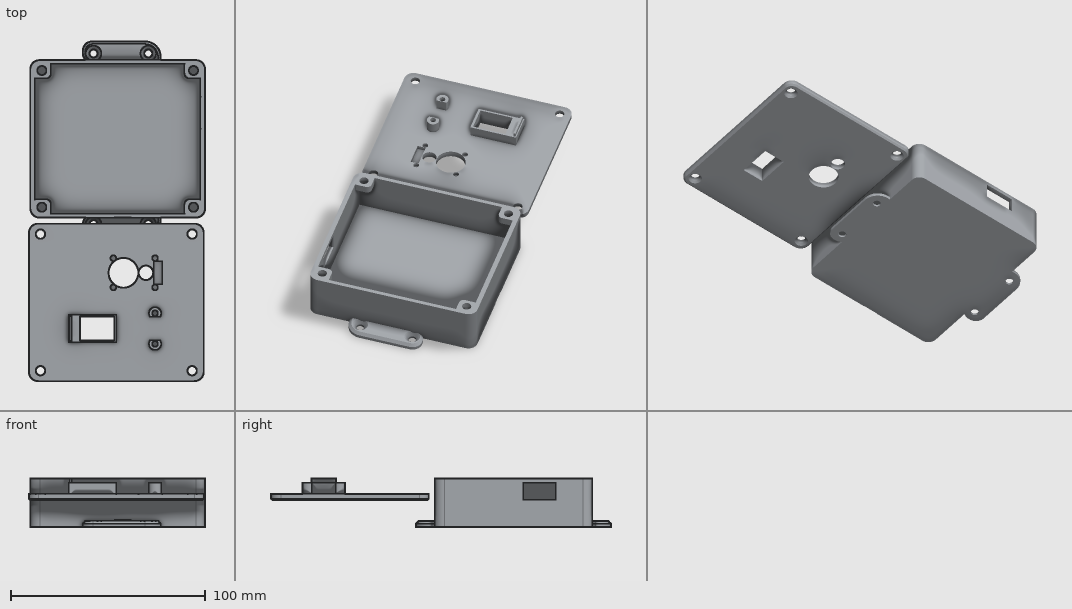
import cadquery as cq

OVERALL_WIDTH = 174.6
LENGTH = 90.0
WIDTH = 81.0
CORNER_RADIUS = 4.9
SCREW_DIAMETER = 4.7
SCREW_X = 39.0
SCREW_Y = 35.1
SCREW_POINTS = [(sx * SCREW_X, sy * SCREW_Y) for sx in (-1, 1) for sy in (-1, 1)]

BOX_HEIGHT = 25.0
SIDE_WALL = 2.5
END_WALL = 2.0
FLOOR = 3.0
BOSS_LENGTH = 10.7
BOSS_WIDTH = 9.5
BOSS_HEIGHT = 4.0
BOSS_RADIUS = 2.5
WINDOW_WIDTH = 16.6
WINDOW_HEIGHT = 8.7
WINDOW_Y = 13.5
WINDOW_BOTTOM = 14.0
PANEL_DEPTH = 0.2
PANEL_HEIGHT = 3.7
PANEL_WIDTH = 8.4
SIDE_PANEL_Y = 1.0
FRONT_PANEL_X = 2.6

TAB_REACH = 9.6
TAB_HEIGHT = 3.1
TAB_LEFT = -18.0
TAB_RIGHT = 22.2
TAB_LEFT_RADIUS = 5.0
TAB_RIGHT_RADIUS = 8.2
TAB_CHAMFER = 1.4
TAB_ROOT = 1.5
TAB_HOLE_DIAMETER = 4.0
TAB_SINK_DIAMETER = 8.0
TAB_HOLE_XS = (-12.4, 15.7)
TAB_HOLE_OFFSET = 3.3

LID_X = -0.7
GAP = OVERALL_WIDTH - TAB_REACH - 2 * WIDTH
LID_Y = -(WIDTH + GAP)
LID_BOTTOM = 13.8
LID_THICKNESS = 3.3
LID_CHAMFER = 0.9
SINK_DEPTH = 1.0
FITTING_HEIGHT = 5.8
FITTING_TOP = LID_THICKNESS + FITTING_HEIGHT
PIN_DIAMETER = 3.0
SENSOR_Y = 15.2
LENS_X = 3.7
LENS_DIAMETER = 15.2
PORT_X = 15.2
PORT_DIAMETER = 7.3
POCKET_X = 21.3
POCKET_LENGTH = 4.4
POCKET_WIDTH = 11.9
RECESS_DEPTH = 2.1
PIN_XS = (-1.5, 19.9)
PIN_SPREAD = 7.5
STANDOFF_X = 19.9
STANDOFF_Y = -13.5
STANDOFF_SPREAD = 7.9
STANDOFF_DIAMETER = 6.3
STANDOFF_FLAT = 1.7
FRAME_X = -12.2
FRAME_Y = -13.5
FRAME_LENGTH = 24.6
FRAME_WIDTH = 14.0
FRAME_WALL = 0.9
FRAME_END_WALL = 1.2
FRAME_OPENING_LENGTH = 17.5
LIP_SETBACK = 0.5
LIP_THICKNESS = 1.0
LIP_WIDTH = 12.7


def block(length, width, height, x=0, y=0, z=0):
    """Box centred on x and y that stands on z."""
    return cq.Workplane("XY").box(length, width, height, (True, True, False)).translate((x, y, z))


def drill(diameter, points, depth, top):
    """Cylinders at the points that reach depth below top."""
    base = cq.Workplane("XY").workplane(offset=top - depth)
    return base.pushPoints(points).circle(diameter / 2).extrude(depth)


def rounded_plate(height):
    """Box or lid outline, raised to the given height."""
    return block(LENGTH, WIDTH, height).edges("|Z").fillet(CORNER_RADIUS)


def make_tab():
    """Tab on the +Y side; it starts inside the box wall."""
    start = WIDTH / 2 - TAB_ROOT
    end = WIDTH / 2 + TAB_REACH
    tab = block(TAB_RIGHT - TAB_LEFT, end - start, TAB_HEIGHT,
                (TAB_LEFT + TAB_RIGHT) / 2, (start + end) / 2)
    tab = tab.edges("|Z and <X").fillet(TAB_LEFT_RADIUS)
    tab = tab.edges("|Z and >Y").edges(">X").fillet(TAB_RIGHT_RADIUS)
    return tab.faces(">Z").chamfer(TAB_CHAMFER)


def make_tab_holes():
    """Countersunk holes of the +Y tab, kept outside the box wall."""
    points = [(x, WIDTH / 2 + TAB_HOLE_OFFSET) for x in TAB_HOLE_XS]
    holes = drill(TAB_HOLE_DIAMETER, points, TAB_HEIGHT, TAB_HEIGHT)
    sink_depth = (TAB_SINK_DIAMETER - TAB_HOLE_DIAMETER) / 2
    for x, y in points:
        sink = cq.Solid.makeCone(TAB_HOLE_DIAMETER / 2, TAB_SINK_DIAMETER / 2, sink_depth,
                                 cq.Vector(x, y, TAB_HEIGHT - sink_depth))
        holes = holes.union(cq.Workplane(sink))
    return holes.cut(block(LENGTH, WIDTH, BOX_HEIGHT))


def make_cavity():
    """Inside space of the box, leaving the four corner bosses."""
    cavity = block(LENGTH - 2 * SIDE_WALL, WIDTH - 2 * END_WALL, BOX_HEIGHT - FLOOR, z=FLOOR)
    for sx in (-1, 1):
        for sy in (-1, 1):
            boss = block(2 * BOSS_LENGTH, 2 * BOSS_WIDTH, BOSS_HEIGHT,
                         sx * LENGTH / 2, sy * WIDTH / 2, BOX_HEIGHT - BOSS_HEIGHT)
            cavity = cavity.cut(boss.edges("|Z").fillet(BOSS_RADIUS))
    return cavity


def make_box():
    """Open box with two mirrored tabs."""
    box = rounded_plate(BOX_HEIGHT)
    tab = make_tab()
    tab_holes = make_tab_holes()
    for side_tab, side_holes in ((tab, tab_holes), (tab.mirror("XZ"), tab_holes.mirror("XZ"))):
        box = box.union(side_tab).cut(side_holes)
    box = box.cut(make_cavity())
    box = box.cut(drill(SCREW_DIAMETER, SCREW_POINTS, BOSS_HEIGHT, BOX_HEIGHT))
    window = block(SIDE_WALL, WINDOW_WIDTH, WINDOW_HEIGHT,
                   (LENGTH - SIDE_WALL) / 2, WINDOW_Y, WINDOW_BOTTOM)
    side_panel = block(PANEL_DEPTH, PANEL_WIDTH, PANEL_HEIGHT, (PANEL_DEPTH - LENGTH) / 2, SIDE_PANEL_Y)
    front_panel = block(PANEL_WIDTH, PANEL_DEPTH, PANEL_HEIGHT - TAB_HEIGHT,
                        FRONT_PANEL_X, (PANEL_DEPTH - WIDTH) / 2, TAB_HEIGHT)
    return box.cut(window).cut(side_panel).cut(front_panel)


def make_standoff(side):
    """D-shaped post with a pin hole; its flat faces the middle of the pair."""
    y = STANDOFF_Y + side * STANDOFF_SPREAD
    radius = STANDOFF_DIAMETER / 2
    post = drill(STANDOFF_DIAMETER, [(STANDOFF_X, y)], FITTING_HEIGHT, FITTING_TOP)
    beyond = block(STANDOFF_DIAMETER, radius, FITTING_HEIGHT,
                   STANDOFF_X, y - side * (STANDOFF_FLAT + radius / 2), LID_THICKNESS)
    hole = drill(PIN_DIAMETER, [(STANDOFF_X, y)], FITTING_HEIGHT, FITTING_TOP)
    return post.cut(beyond).cut(hole)


def make_frame():
    """Raised frame with a lip along its -X end."""
    frame = block(FRAME_LENGTH, FRAME_WIDTH, FITTING_HEIGHT, FRAME_X, FRAME_Y, LID_THICKNESS)
    lip_height = BOX_HEIGHT - LID_BOTTOM - FITTING_TOP
    lip_x = FRAME_X - FRAME_LENGTH / 2 + LIP_SETBACK + LIP_THICKNESS / 2
    lip = block(LIP_THICKNESS, LIP_WIDTH, lip_height, lip_x, FRAME_Y, FITTING_TOP)
    return frame.union(lip)


def make_screw_holes():
    """Lid screw holes, countersunk from below."""
    holes = drill(SCREW_DIAMETER, SCREW_POINTS, LID_THICKNESS, LID_THICKNESS)
    radius = SCREW_DIAMETER / 2
    for x, y in SCREW_POINTS:
        sink = cq.Solid.makeCone(radius + SINK_DEPTH, radius, SINK_DEPTH, cq.Vector(x, y, 0))
        holes = holes.union(cq.Workplane(sink))
    return holes


def cut_sensor_openings(lid):
    """Two through holes, a blind pocket and four blind pin holes in one group."""
    lens = drill(LENS_DIAMETER, [(LENS_X, SENSOR_Y)], LID_THICKNESS, LID_THICKNESS)
    port = drill(PORT_DIAMETER, [(PORT_X, SENSOR_Y)], LID_THICKNESS, LID_THICKNESS)
    pocket = block(POCKET_LENGTH, POCKET_WIDTH, RECESS_DEPTH,
                   POCKET_X, SENSOR_Y, LID_THICKNESS - RECESS_DEPTH)
    pin_points = [(x, SENSOR_Y + side * PIN_SPREAD) for x in PIN_XS for side in (-1, 1)]
    pins = drill(PIN_DIAMETER, pin_points, RECESS_DEPTH, LID_THICKNESS)
    return lid.cut(lens).cut(port).cut(pocket).cut(pins)


def make_lid():
    """Lid modelled about its own plan centre, then moved beside the box."""
    lid = rounded_plate(LID_THICKNESS).faces("<Z").chamfer(LID_CHAMFER)
    lid = cut_sensor_openings(lid.cut(make_screw_holes()))
    for side in (-1, 1):
        lid = lid.union(make_standoff(side))
    lid = lid.union(make_frame())
    opening_x = FRAME_X + FRAME_LENGTH / 2 - FRAME_END_WALL - FRAME_OPENING_LENGTH / 2
    opening = block(FRAME_OPENING_LENGTH, FRAME_WIDTH - 2 * FRAME_WALL, FITTING_TOP, opening_x, FRAME_Y)
    return lid.cut(opening).translate((LID_X, LID_Y, LID_BOTTOM))


box = make_box()
lid = make_lid()
result = cq.Compound.makeCompound([box.solids().val(), lid.solids().val()])